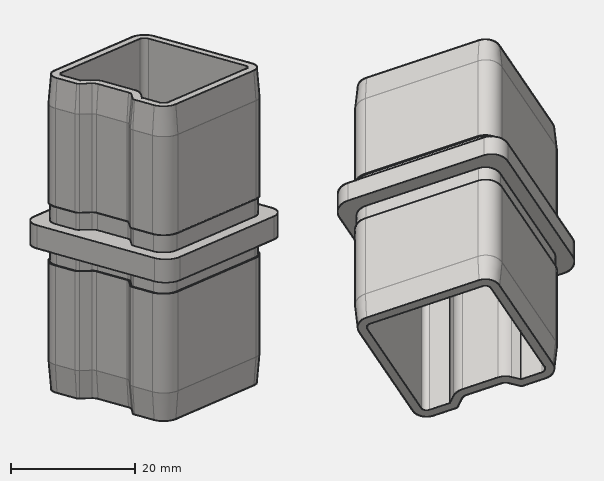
import cadquery as cq
import math


total_height = 54.0
collar_thickness = 4.0
neck_length = 3.0
taper_length = 5.0

collar_width = 30.0
collar_corner_radius = 2.9

tip_width = 25.0
tip_corner_radius = 2.5
wall = 1.5
neck_offset = 0.19
grip_offset = 0.45

channel_depth = 2.0
channel_floor_half_width = 3.15
channel_floor_radius = 1.4
channel_lip_radius = 0.6

diagonal = math.sqrt(0.5)
arc_mid_sin = math.sin(math.pi / 8)
arc_mid_cos = math.cos(math.pi / 8)

tip_half = tip_width / 2
corner_center = tip_half - tip_corner_radius
collar_top = collar_thickness / 2
neck_top = collar_top + neck_length
taper_start = total_height / 2 - taper_length
floor_center_y = -tip_half + channel_depth - channel_floor_radius
lip_center_y = -tip_half + channel_lip_radius
lip_center_x = (
    channel_floor_half_width
    + floor_center_y
    - lip_center_y
    + (channel_floor_radius + channel_lip_radius) / diagonal
)


def plug_profile(offset, z):
    """Closed plug outline at height z, moved outward by offset (inward if negative)."""
    half = tip_half + offset
    corner_radius = tip_corner_radius + offset
    floor_radius = channel_floor_radius - offset
    lip_radius = channel_lip_radius + offset
    corner_mid = corner_center + corner_radius * diagonal
    floor_x = channel_floor_half_width
    floor_y = floor_center_y + floor_radius
    flank_x = floor_x + floor_radius * diagonal
    flank_y = floor_center_y + floor_radius * diagonal

    half_outline = (
        cq.Workplane("XY", origin=(0, 0, z))
        .moveTo(0, floor_y)
        .lineTo(floor_x, floor_y)
        .threePointArc(
            (
                floor_x + floor_radius * arc_mid_sin,
                floor_center_y + floor_radius * arc_mid_cos,
            ),
            (flank_x, flank_y),
        )
    )
    if lip_radius > 0:
        half_outline = half_outline.lineTo(
            lip_center_x - lip_radius * diagonal,
            lip_center_y - lip_radius * diagonal,
        ).threePointArc(
            (
                lip_center_x - lip_radius * arc_mid_sin,
                lip_center_y - lip_radius * arc_mid_cos,
            ),
            (lip_center_x, -half),
        )
    else:
        half_outline = half_outline.lineTo(flank_x + flank_y + half, -half)

    return (
        half_outline.lineTo(corner_center, -half)
        .threePointArc((corner_mid, -corner_mid), (half, -corner_center))
        .lineTo(half, corner_center)
        .threePointArc((corner_mid, corner_mid), (corner_center, half))
        .lineTo(0, half)
        .mirrorY()
    )


def plug_section(bottom, top, bottom_offset, top_offset):
    """Solid between two heights; the outline may change linearly between them."""
    if bottom_offset == top_offset:
        return plug_profile(bottom_offset, bottom).extrude(top - bottom)
    wires = [
        plug_profile(bottom_offset, bottom).wires().val(),
        plug_profile(top_offset, top).wires().val(),
    ]
    return cq.Workplane(cq.Solid.makeLoft(wires, True))


def upper_plug():
    """Narrow neck, full-size grip and tapered tip above the collar."""
    neck = plug_section(0, neck_top, neck_offset, neck_offset)
    grip = plug_section(neck_top, taper_start, grip_offset, grip_offset)
    tip = plug_section(taper_start, total_height / 2, grip_offset, 0)
    return neck.union(grip).union(tip)


def collar():
    return (
        cq.Workplane("XY")
        .box(collar_width, collar_width, collar_thickness)
        .edges("|Z")
        .fillet(collar_corner_radius)
    )


upper = upper_plug()
lower = upper.mirror("XY")
bore = plug_section(-total_height / 2, total_height / 2, -wall, -wall)

result = upper.union(lower).union(collar()).cut(bore)